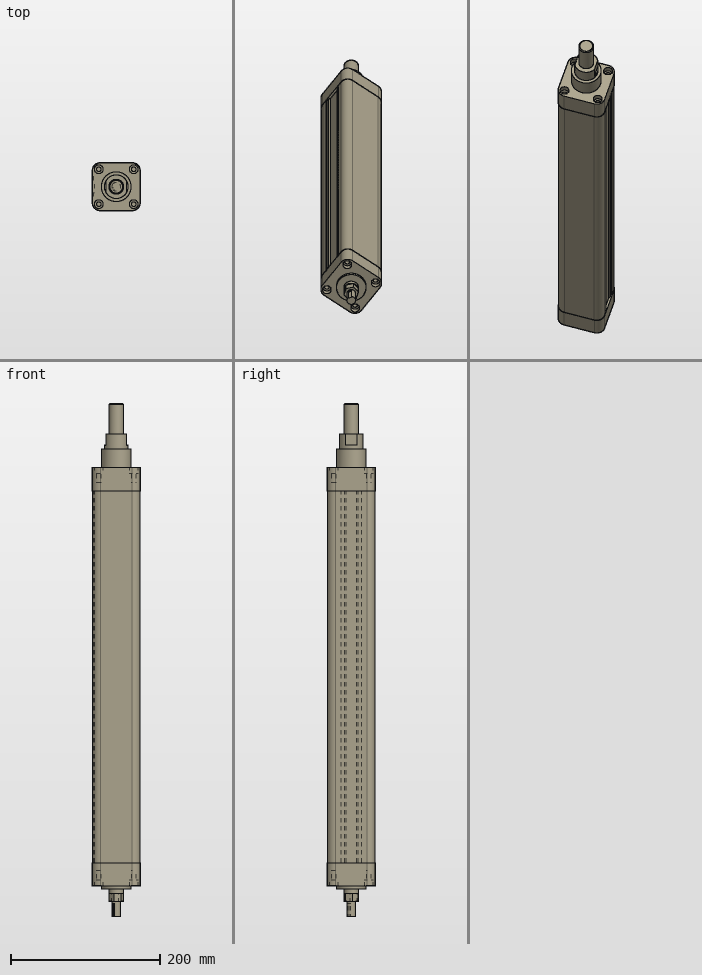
import cadquery as cq

total_height = 687.0
shaft_length = 20.5
hex_height = 10.0
journal_height = 6.0
flange_height = 4.0
rear_cap_height = 31.0
tube_length = 498.0
front_cap_height = 31.5
collar_height = 25.0
rod_shoulder_height = 20.0

hex_base = shaft_length
journal_base = hex_base + hex_height
flange_base = journal_base + journal_height
rear_cap_base = flange_base + flange_height
tube_base = rear_cap_base + rear_cap_height
front_cap_base = tube_base + tube_length
collar_base = front_cap_base + front_cap_height
collar_top = collar_base + collar_height
stud_base = collar_top + rod_shoulder_height

cap_width = 64.5
tube_width = 64.0
corner_radius = 11.0

cap_hole_offset = 23.5
cap_hole_diameter = 6.0
cap_hole_depth = 20.5
counterbore_diameter = 12.0
counterbore_depth = 8.0

recess_width = 27.0
recess_depth = 1.5
groove_mouth_width = 18.5
groove_floor_width = 14.5
groove_depth = 3.0

collar_diameter = 40.0
rod_diameter = 31.5
rod_across_flats = 27.5
rod_flat_height = 15.0
stud_diameter = 20.0
stud_chamfer = 1.5

journal_diameter = 20.0
hex_across_corners = 20.0
hex_turn = 11.0
shaft_diameter = 12.0
keyway_width = 4.0
keyway_depth = 1.5
keyway_length = 18.0
keyway_angle = 214.0


def cylinder(diameter, base, height):
    """A round bar on the Z axis."""
    return cq.Workplane("XY").workplane(offset=base).circle(diameter / 2).extrude(height)


def square_bar(width, base, height):
    """A square bar on the Z axis with rounded vertical edges."""
    bar = cq.Workplane("XY").workplane(offset=base).rect(width, width).extrude(height)
    return bar.edges("|Z").fillet(corner_radius)


def make_cap(base, height, outer_face):
    """A square end cap with a blind counterbored hole in each corner of its outer face."""
    return (
        square_bar(cap_width, base, height)
        .faces(outer_face)
        .workplane(origin=(0, 0, 0))
        .rect(2 * cap_hole_offset, 2 * cap_hole_offset, forConstruction=True)
        .vertices()
        .cboreHole(cap_hole_diameter, counterbore_diameter, counterbore_depth, cap_hole_depth)
    )


def make_tube():
    """The profile tube with its stepped groove."""
    face_x = -tube_width / 2
    recess_x = face_x + recess_depth
    floor_x = face_x + groove_depth
    groove = (
        cq.Workplane("XY")
        .workplane(offset=tube_base)
        .polyline([
            (face_x, -recess_width / 2),
            (recess_x, -recess_width / 2),
            (recess_x, -groove_mouth_width / 2),
            (floor_x, -groove_floor_width / 2),
            (floor_x, groove_floor_width / 2),
            (recess_x, groove_mouth_width / 2),
            (recess_x, recess_width / 2),
            (face_x, recess_width / 2),
        ])
        .close()
        .extrude(tube_length)
    )
    return square_bar(tube_width, tube_base, tube_length).cut(groove)


def make_rod():
    """The piston rod end with two wrench flats and a stud on top."""
    shoulder = cylinder(rod_diameter, collar_top, rod_shoulder_height)
    wrench_zone = cylinder(rod_diameter, stud_base - rod_flat_height, rod_flat_height)
    flat_stock = (
        cq.Workplane("XY")
        .workplane(offset=stud_base - rod_flat_height)
        .rect(rod_across_flats, rod_diameter)
        .extrude(rod_flat_height)
    )
    flat_waste = wrench_zone.cut(flat_stock)
    stud = cylinder(stud_diameter, stud_base, total_height - stud_base).faces(">Z").chamfer(stud_chamfer)
    return shoulder.cut(flat_waste).union(stud)


def make_drive_shaft():
    """The drive shaft: journal, hexagon and keyed shaft end."""
    journal = cylinder(journal_diameter, journal_base, journal_height)
    hexagon = (
        cq.Workplane("XY")
        .workplane(offset=hex_base)
        .polygon(6, hex_across_corners)
        .extrude(hex_height)
        .rotate((0, 0, 0), (0, 0, 1), hex_turn)
    )
    keyway = (
        cq.Workplane("XY")
        .center(shaft_diameter / 2, 0)
        .rect(2 * keyway_depth, keyway_width)
        .extrude(keyway_length)
        .rotate((0, 0, 0), (0, 0, 1), keyway_angle)
    )
    return cylinder(shaft_diameter, 0, shaft_length).cut(keyway).union(hexagon).union(journal)


rear_cap = make_cap(rear_cap_base, rear_cap_height, "<Z")
front_cap = make_cap(front_cap_base, front_cap_height, ">Z")
tube = make_tube()
collar = cylinder(collar_diameter, collar_base, collar_height)
rear_flange = cylinder(collar_diameter, flange_base, flange_height)
rod = make_rod()
drive_shaft = make_drive_shaft()

bodies = [rear_cap, front_cap, tube, collar, rear_flange, rod, drive_shaft]
result = cq.Compound.makeCompound([body.val() for body in bodies])